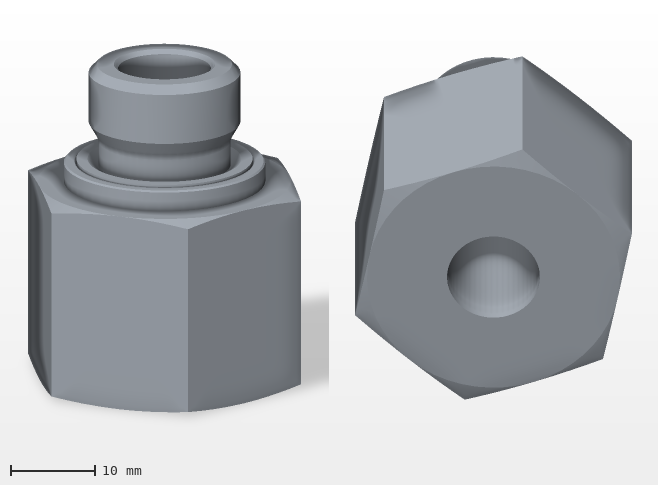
import cadquery as cq
import math

total_height = 38.5
hex_height = 24.0
collar_top = 26.5
ring_top = 26.75

hex_across_flats = 30.0
hex_chamfer_angle = 15.0

collar_diameter = 23.9
collar_chamfer = 0.2
groove_diameter = 21.0
groove_mouth_chamfer = 0.2
groove_depth = 1.75

ring_diameter = 20.9
ring_mouth_diameter = 18.25
ring_countersink_slope = 30.0

spigot_diameter = 18.0
spigot_length = 7.1
spigot_chamfer = 1.0
neck_diameter = 15.7
neck_cone_angle = 30.0
neck_fillet = 1.3
bore_diameter = 11.0
bore_chamfer = 0.5

hex_flat_radius = hex_across_flats / 2
hex_corner_radius = hex_flat_radius / math.cos(math.radians(30))
hex_chamfer_drop = (hex_corner_radius - hex_flat_radius) * math.tan(math.radians(hex_chamfer_angle))
collar_radius = collar_diameter / 2
groove_radius = groove_diameter / 2
groove_mouth_radius = groove_radius + groove_mouth_chamfer
groove_floor = collar_top - groove_depth
spigot_radius = spigot_diameter / 2
spigot_bottom = total_height - spigot_length
neck_radius = neck_diameter / 2
bore_radius = bore_diameter / 2


def revolve_profile(profile):
    """Turn a closed (radius, height) profile about the Z axis."""
    return profile.close().revolve(360, (0, 0, 0), (0, 1, 0))


def make_hexagon():
    """Hexagonal prism with its corners turned down at both ends."""
    prism = (
        cq.Workplane("XY")
        .polygon(6, 2 * hex_corner_radius)
        .extrude(hex_height)
        .rotate((0, 0, 0), (0, 0, 1), 30)
    )
    turned_envelope = revolve_profile(
        cq.Workplane("XZ")
        .moveTo(0, 0)
        .lineTo(hex_flat_radius, 0)
        .lineTo(hex_corner_radius, hex_chamfer_drop)
        .lineTo(hex_corner_radius, hex_height - hex_chamfer_drop)
        .lineTo(hex_flat_radius, hex_height)
        .lineTo(0, hex_height)
    )
    return prism.intersect(turned_envelope)


def make_collar():
    """Round collar with a chamfered rim and a ring groove around the neck."""
    return revolve_profile(
        cq.Workplane("XZ")
        .moveTo(0, hex_height)
        .lineTo(collar_radius, hex_height)
        .lineTo(collar_radius, collar_top - collar_chamfer)
        .lineTo(collar_radius - collar_chamfer, collar_top)
        .lineTo(groove_mouth_radius, collar_top)
        .lineTo(groove_radius, collar_top - groove_mouth_chamfer)
        .lineTo(groove_radius, groove_floor)
        .lineTo(0, groove_floor)
    )


def make_spigot():
    """Neck that flares through a fillet and a cone into the chamfered spigot."""
    angle = math.radians(neck_cone_angle)
    fillet_center_radius = neck_radius + neck_fillet
    cone_start_radius = fillet_center_radius - neck_fillet * math.cos(angle)
    cone_start = spigot_bottom - (spigot_radius - cone_start_radius) / math.tan(angle)
    fillet_start = cone_start - neck_fillet * math.sin(angle)
    fillet_middle = (
        fillet_center_radius - neck_fillet * math.cos(angle / 2),
        fillet_start + neck_fillet * math.sin(angle / 2),
    )
    return revolve_profile(
        cq.Workplane("XZ")
        .moveTo(0, groove_floor)
        .lineTo(neck_radius, groove_floor)
        .lineTo(neck_radius, fillet_start)
        .threePointArc(fillet_middle, (cone_start_radius, cone_start))
        .lineTo(spigot_radius, spigot_bottom)
        .lineTo(spigot_radius, total_height - spigot_chamfer)
        .lineTo(spigot_radius - spigot_chamfer, total_height)
        .lineTo(0, total_height)
    )


def make_bore():
    """Through bore with a chamfered mouth at the spigot end."""
    return revolve_profile(
        cq.Workplane("XZ")
        .moveTo(0, 0)
        .lineTo(bore_radius, 0)
        .lineTo(bore_radius, total_height - bore_chamfer)
        .lineTo(bore_radius + bore_chamfer, total_height)
        .lineTo(0, total_height)
    )


def make_fitting():
    """Screw fitting: hexagon, collar and spigot in one piece, bored through."""
    return make_hexagon().union(make_collar()).union(make_spigot()).cut(make_bore())


def make_sealing_ring():
    """Ring around the neck with a countersunk inner edge."""
    ring_radius = ring_diameter / 2
    mouth_radius = ring_mouth_diameter / 2
    countersink_depth = (mouth_radius - neck_radius) * math.tan(math.radians(ring_countersink_slope))
    return revolve_profile(
        cq.Workplane("XZ")
        .moveTo(neck_radius, groove_floor)
        .lineTo(ring_radius, groove_floor)
        .lineTo(ring_radius, ring_top)
        .lineTo(mouth_radius, ring_top)
        .lineTo(neck_radius, ring_top - countersink_depth)
    )


fitting = make_fitting()
sealing_ring = make_sealing_ring()

result = cq.Compound.makeCompound([fitting.val(), sealing_ring.val()])